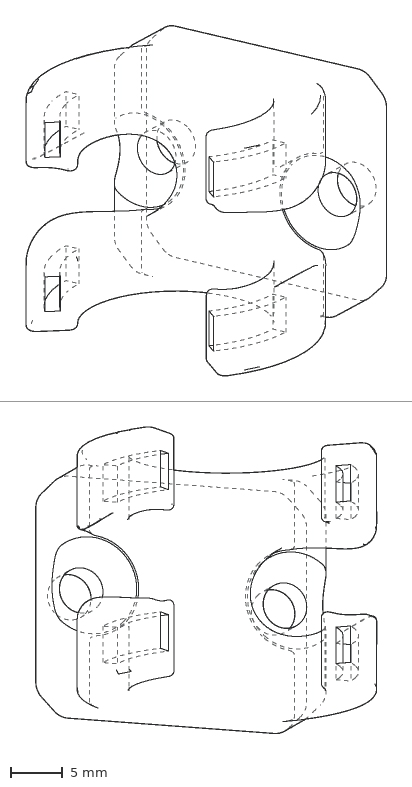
import cadquery as cq
import math


HEIGHT = 24.0
EDGE_ROUND = 0.5

OUTER_RADIUS = 14.55
BORE_RADIUS = 9.52
TIP_ANGLE = 40.0
TIP_ROUND = 1.0

PLATE_WIDTH = 27.95
PLATE_THICKNESS = 6.0
PLATE_BACK = 15.98
PLATE_FRONT = PLATE_BACK - PLATE_THICKNESS
CORNER_CHAMFER = 2.5
CORNER_BLEND = 2.0

SCREW_OFFSET = 10.5
SCREW_RADIUS = 2.25
HEAD_RADIUS = 4.8
HEAD_DEPTH = HEAD_RADIUS - SCREW_RADIUS
ACCESS_RADIUS = 5.0

SLOT_WIDTH = 1.5
SLOT_MID_RADIUS = (BORE_RADIUS + OUTER_RADIUS) / 2
SLOT_HEIGHT = 3.6
SLOT_LEVEL = 8.0

SIDES = (-1, 1)


def polar(radius, angle):
    """Point at the given radius and angle in degrees from the X axis."""
    return (radius * math.cos(math.radians(angle)), radius * math.sin(math.radians(angle)))


def along_y(x, y_start, length, radius):
    """Round bar starting at y_start and running towards -Y."""
    return cq.Workplane("XZ", origin=(x, y_start, 0)).circle(radius).extrude(length)


def make_ring():
    ring = (
        cq.Workplane("XY")
        .moveTo(*polar(OUTER_RADIUS, -TIP_ANGLE))
        .threePointArc((0, OUTER_RADIUS), polar(OUTER_RADIUS, 180 + TIP_ANGLE))
        .lineTo(*polar(BORE_RADIUS, 180 + TIP_ANGLE))
        .threePointArc((0, BORE_RADIUS), polar(BORE_RADIUS, -TIP_ANGLE))
        .close()
        .extrude(HEIGHT / 2, both=True)
        .edges("|Z")
        .fillet(TIP_ROUND)
    )
    for side in SIDES:
        ring = ring.cut(along_y(side * SCREW_OFFSET, OUTER_RADIUS, 2 * OUTER_RADIUS, ACCESS_RADIUS))
    return ring.edges("not(|Z)").fillet(EDGE_ROUND)


def make_plate():
    return (
        cq.Workplane("XZ", origin=(0, PLATE_BACK, 0))
        .rect(PLATE_WIDTH, HEIGHT)
        .extrude(PLATE_THICKNESS)
        .edges("|Y")
        .chamfer(CORNER_CHAMFER)
        .edges("|Y")
        .fillet(CORNER_BLEND)
        .faces("<Y")
        .edges()
        .fillet(EDGE_ROUND)
    )


def make_screw_hole(x):
    shank = along_y(x, PLATE_BACK, PLATE_THICKNESS, SCREW_RADIUS)
    head = cq.Solid.makeCone(
        HEAD_RADIUS, SCREW_RADIUS, HEAD_DEPTH, pnt=cq.Vector(x, PLATE_FRONT, 0), dir=cq.Vector(0, 1, 0)
    )
    return shank.union(cq.Workplane(head))


def make_slot(side, level):
    """Slot following the ring from beyond its tip face up to the level of the pipe axis."""
    bottom = level - SLOT_HEIGHT / 2
    annulus = (
        cq.Workplane("XY", origin=(0, 0, bottom))
        .circle(SLOT_MID_RADIUS + SLOT_WIDTH / 2)
        .circle(SLOT_MID_RADIUS - SLOT_WIDTH / 2)
        .extrude(SLOT_HEIGHT)
    )
    quadrant = (
        cq.Workplane("XY", origin=(0, 0, bottom))
        .rect(side * OUTER_RADIUS, -OUTER_RADIUS, centered=False)
        .extrude(SLOT_HEIGHT)
    )
    return annulus.intersect(quadrant)


result = make_plate().union(make_ring())
for side in SIDES:
    result = result.cut(make_screw_hole(side * SCREW_OFFSET))
    for half in SIDES:
        result = result.cut(make_slot(side, half * SLOT_LEVEL))